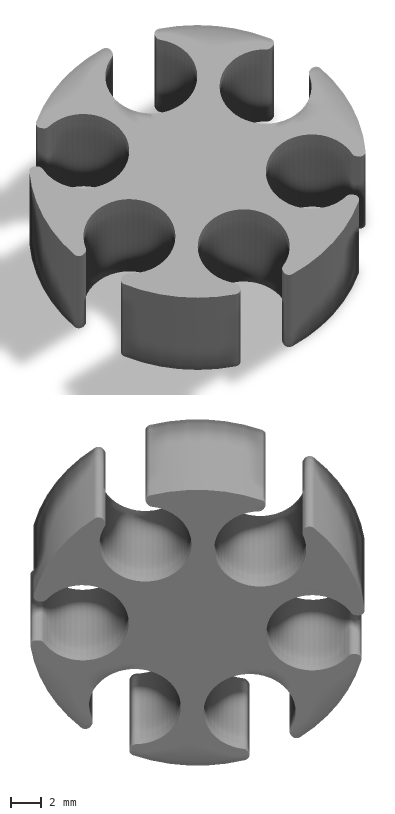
import cadquery as cq

disc_radius = 11.0
thickness = 8.0
pocket_count = 6
pocket_radius = 3.0
pocket_circle_radius = 7.5
opening_width = 3.1
lip_radius = 0.4


def make_pocket_cutter():
    """Round pocket on the +Y axis with a straight opening that runs out past the rim."""
    opening_end = disc_radius + pocket_radius
    opening_length = opening_end - pocket_circle_radius
    pocket = cq.Workplane("XY").center(0, pocket_circle_radius).circle(pocket_radius).extrude(thickness)
    opening = (
        cq.Workplane("XY")
        .center(0, pocket_circle_radius + opening_length / 2)
        .rect(opening_width, opening_length)
        .extrude(thickness)
    )
    return pocket.union(opening)


def make_slotted_disc():
    """Disc with evenly spaced open pockets, the first on the +Y axis."""
    disc = cq.Workplane("XY").circle(disc_radius).extrude(thickness)
    cutter = make_pocket_cutter()
    for index in range(pocket_count):
        pocket_angle = index * 360 / pocket_count
        disc = disc.cut(cutter.rotate((0, 0, 0), (0, 0, 1), pocket_angle))
    return disc


result = make_slotted_disc().edges("|Z").fillet(lip_radius)